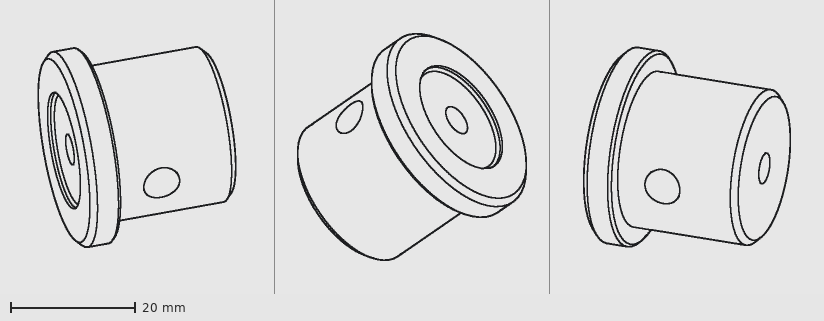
import cadquery as cq

flange_diameter = 32.0
body_diameter = 25.4
length = 25.4
flange_thickness = 5.0

outer_chamfer = 1.0
flange_back_chamfer = 0.48

recess_diameter = 19.0
recess_depth = 1.0
recess_chamfer = 0.48

axial_hole_diameter = 5.0
cross_hole_diameter = 6.0
cross_hole_y = length / 2


def turned_body():
    """Flanged plug with its recess, revolved about the Y axis."""
    flange_radius = flange_diameter / 2
    body_radius = body_diameter / 2
    recess_radius = recess_diameter / 2
    profile = (
        cq.Workplane("XY")
        .moveTo(0, recess_depth)
        .lineTo(recess_radius - recess_chamfer, recess_depth)
        .lineTo(recess_radius, recess_depth - recess_chamfer)
        .lineTo(recess_radius, 0)
        .lineTo(flange_radius - outer_chamfer, 0)
        .lineTo(flange_radius, outer_chamfer)
        .lineTo(flange_radius, flange_thickness - flange_back_chamfer)
        .lineTo(flange_radius - flange_back_chamfer, flange_thickness)
        .lineTo(body_radius, flange_thickness)
        .lineTo(body_radius, length - outer_chamfer)
        .lineTo(body_radius - outer_chamfer, length)
        .lineTo(0, length)
        .close()
    )
    return profile.revolve(360, (0, 0, 0), (0, 1, 0))


def axial_hole():
    """Cutter for the hole along the part axis."""
    return cq.Workplane("XZ").circle(axial_hole_diameter / 2).extrude(-length)


def cross_hole():
    """Cutter for the hole through the body along X."""
    return (
        cq.Workplane("YZ")
        .center(cross_hole_y, 0)
        .circle(cross_hole_diameter / 2)
        .extrude(body_diameter / 2, both=True)
    )


result = turned_body().cut(axial_hole()).cut(cross_hole())